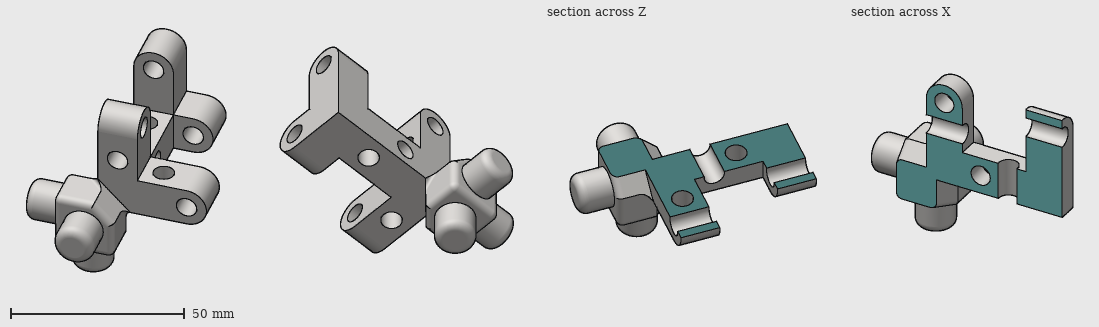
import cadquery as cq
import math

bar = 12.0
half = bar / 2
reach = 32.95
frame_length = 45.0
short_reach = 2 * bar
hole_diameter = 6.2
hole_offset = 1.5 * bar
eye_center = reach - half
back_start = frame_length - bar

peg_tip = -20.0
peg_diameter = bar
peg_round = 2.5
cube_low = -10.0
cube_high = 8.0
cube_size = cube_high - cube_low
cube_center = (cube_low + cube_high) / 2
cube_chamfer = 6.05
cube_round = 2.0

web_round = 1.0
chamfer_sum = 2 * cube_high - cube_chamfer

X_AXIS = cq.Vector(1, 0, 0)
Y_AXIS = cq.Vector(0, 1, 0)
Z_AXIS = cq.Vector(0, 0, 1)


def cylinder(diameter, length, start, direction):
    return cq.Workplane(cq.Solid.makeCylinder(diameter / 2, length, cq.Vector(*start), direction))


def box(size, corner):
    return cq.Workplane("XY").box(*size, centered=False).translate(corner)


def post(start_y):
    """Straight part of an upright post, up to the center of its eye."""
    return box((bar, bar, eye_center), (0, start_y, 0))


def arm(end, start_y):
    """Bar along +X with a rounded end."""
    straight = end - half
    body = box((straight, bar, bar), (0, start_y, 0))
    return body.union(cylinder(bar, bar, (straight, start_y, half), Y_AXIS))


def make_frame():
    frame = box((bar, frame_length, bar), (0, 0, 0))
    frame = frame.union(post(0))
    frame = frame.union(cylinder(bar, bar, (0, half, eye_center), X_AXIS))
    frame = frame.union(post(back_start))
    frame = frame.union(cylinder(bar, bar, (half, back_start, eye_center), Y_AXIS))
    frame = frame.union(arm(reach, 0))
    frame = frame.union(arm(short_reach, back_start))
    holes = [
        ((0, half, eye_center), X_AXIS),
        ((half, 0, hole_offset), Y_AXIS),
        ((eye_center, 0, half), Y_AXIS),
        ((hole_offset, half, 0), Z_AXIS),
        ((0, hole_offset, half), X_AXIS),
        ((half, frame_length - hole_offset, 0), Z_AXIS),
        ((half, back_start, eye_center), Y_AXIS),
        ((short_reach - half, back_start, half), Y_AXIS),
    ]
    for start, direction in holes:
        frame = frame.cut(cylinder(hole_diameter, bar, start, direction))
    return frame


def make_cube():
    cube = box((cube_size,) * 3, (cube_low,) * 3)
    inner_edges = cube.edges("(>X and >Y) or (>X and >Z) or (>Y and >Z)")
    cube = inner_edges.chamfer(cube_chamfer)
    outer_edges = cube.faces("<X or <Y or <Z").edges()
    return outer_edges.fillet(cube_round)


def make_peg(tip_face, direction):
    start = cq.Vector(cube_center, cube_center, cube_center) + direction * (peg_tip - cube_center)
    peg = cylinder(peg_diameter, cube_center - peg_tip, start.toTuple(), direction)
    return peg.faces(tip_face).edges().fillet(peg_round)


def make_web():
    """Upright wall across the frame's vertical edge, with a concave round onto the cube top."""
    toe = -web_round
    sag = web_round * (1 - math.sqrt(0.5))
    base = cube_high - cube_round
    across = cq.Plane(origin=(0, 0, 0), xDir=(1, 1, 0), normal=(1, -1, 0))
    web = (
        cq.Workplane(across)
        .moveTo(toe, base)
        .lineTo(toe, cube_high)
        .threePointArc((-sag, cube_high + sag), (0, cube_high + web_round))
        .lineTo(0, chamfer_sum)
        .lineTo(half, chamfer_sum)
        .lineTo(half, base)
        .close()
        .extrude(bar, both=True)
    )
    slope = [(-bar, 0), (chamfer_sum, 0), (0, chamfer_sum), (-bar, chamfer_sum + bar)]
    along_y = cq.Workplane("XZ").polyline(slope).close().extrude(bar, both=True)
    along_x = cq.Workplane("YZ").polyline(slope).close().extrude(bar, both=True)
    return web.intersect(along_y).intersect(along_x)


result = make_frame().union(make_cube())
for tip_face, direction in (("<X", X_AXIS), ("<Y", Y_AXIS), ("<Z", Z_AXIS)):
    result = result.union(make_peg(tip_face, direction))

web = make_web()
for angle in (0, 120, 240):
    result = result.union(web.rotate((0, 0, 0), (1, 1, 1), angle))